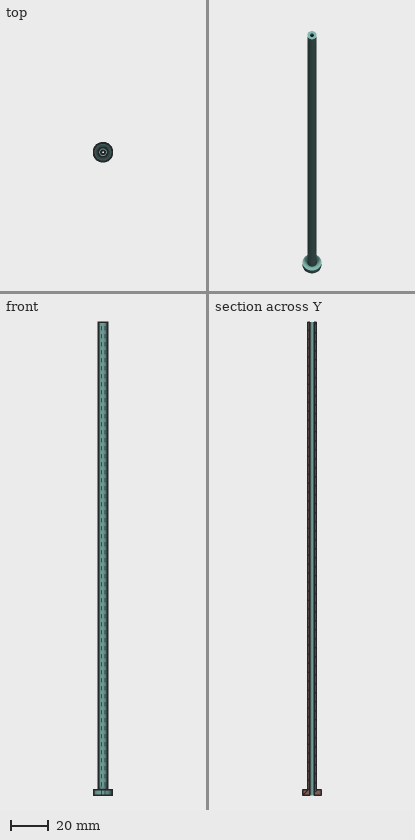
import cadquery as cq

total_length = 250.0
head_diameter = 10.0
head_height = 3.0
shaft_diameter = 5.0
bore_diameter = 2.0
neck_fillet_radius = 0.3

shaft_radius = shaft_diameter / 2
head_radius = head_diameter / 2
bore_radius = bore_diameter / 2


def sleeve_body():
    """Headed round sleeve, revolved about Z, with a fillet between the head and the shaft."""
    fillet_outer_radius = shaft_radius + neck_fillet_radius
    fillet_top = head_height + neck_fillet_radius
    profile = (
        cq.Workplane("XZ")
        .moveTo(bore_radius, 0)
        .lineTo(head_radius, 0)
        .lineTo(head_radius, head_height)
        .lineTo(fillet_outer_radius, head_height)
        .radiusArc((shaft_radius, fillet_top), neck_fillet_radius)
        .lineTo(shaft_radius, total_length)
        .lineTo(bore_radius, total_length)
        .close()
    )
    return profile.revolve(360, (0, 0, 0), (0, 1, 0))


result = sleeve_body()